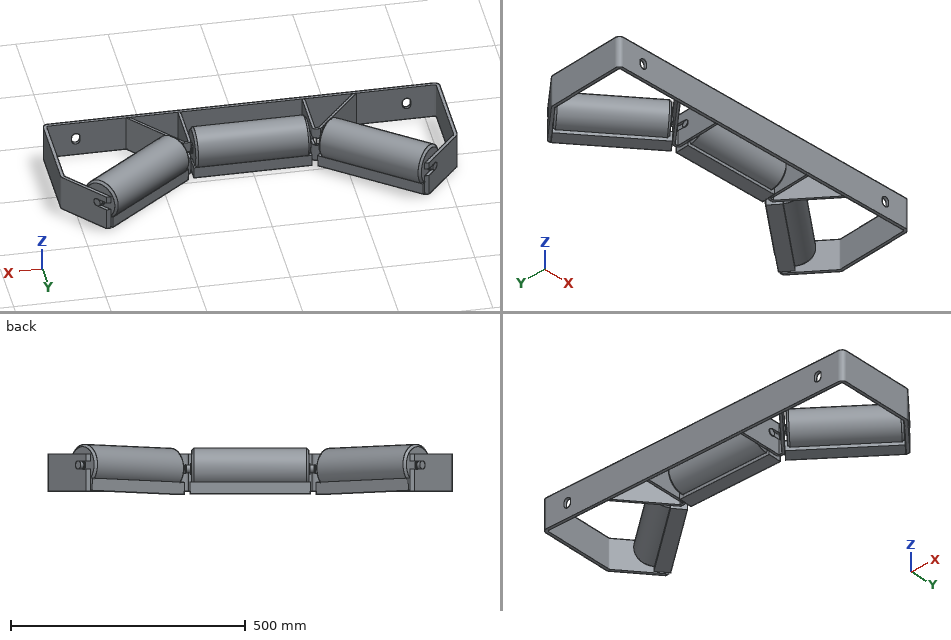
import cadquery as cq
import math

frame_length = 860.0
bar_width = 80.0
bar_thickness = 8.0
bend_radius = 12.0
side_height = 207.0
arm_tip_y = 303.0
mount_slot_x = 359.0
mount_slot_width = 18.0
mount_slot_height = 26.0

trough_angle = 40.0
lift_angle = 2.0
trough_sin = math.sin(math.radians(trough_angle))
trough_cos = math.cos(math.radians(trough_angle))

bracket_thickness = 6.0
bracket_top_y = 128.0
upright_face_x = 132.0
slant_corner_x = 149.0
bracket_bend_radius = 8.0

roller_diameter = 89.5
roller_length = 249.0
roller_chamfer = 5.0
collar_diameter = 23.0
collar_length = 254.5
spindle_diameter = 17.0
spindle_length = 272.0
centre_roller_position = (0, 101.5, 48.0)
outer_roller_x = 262.0
outer_roller_y = 195.0
outer_roller_z = 52.0

rail_length = 256.0
outer_rail_shift = 3.0
rail_width = 36.0
rail_top = -27.5
rail_bottom = -53.0

slot_inner_end = 122.0
slot_outer_end = 139.0
slot_depth = 60.0

SIDES = (-1, 1)


def place(body, position, turn=0.0, lift=0.0):
    """Move a body built along X at the origin: raise its +X end, turn it in plan, shift it."""
    body = body.rotate((0, 0, 0), (0, 1, 0), -lift)
    body = body.rotate((0, 0, 0), (0, 0, 1), turn)
    return body.translate(position)


def place_outer(body, side):
    """Put a body on the axis of the outer roller on the given side."""
    position = (side * outer_roller_x, outer_roller_y, outer_roller_z)
    return place(body, position, side * trough_angle, side * lift_angle)


def axis_cylinder(diameter, length):
    """Cylinder centred on the origin, along X."""
    return cq.Workplane("YZ", origin=(-length / 2, 0, 0)).circle(diameter / 2).extrude(length)


def make_roller():
    """Chamfered roller with a stepped spindle, as one solid."""
    barrel = axis_cylinder(roller_diameter, roller_length).edges().chamfer(roller_chamfer)
    collar = axis_cylinder(collar_diameter, collar_length)
    spindle = axis_cylinder(spindle_diameter, spindle_length)
    return barrel.union(collar).union(spindle)


def make_rail(shift=0.0):
    """Bar under the roller, hollowed to the roller surface and shifted along its axis."""
    rail_height = rail_top - rail_bottom
    bar = cq.Workplane("XY").box(rail_length, rail_width, rail_height, centered=(True, False, False))
    return bar.translate((shift, 0, rail_bottom)).cut(make_roller())


def make_spindle_slots():
    """Cutter for the round-bottomed slots at both ends of a roller, open towards +Y."""
    slot_length = slot_outer_end - slot_inner_end
    slot_middle = (slot_outer_end + slot_inner_end) / 2
    cutter = axis_cylinder(spindle_diameter, 2 * slot_outer_end)
    opening = cq.Workplane("XY").box(slot_length, slot_depth, spindle_diameter, centered=(True, False, True))
    for side in SIDES:
        cutter = cutter.union(opening.translate((side * slot_middle, 0, 0)))
    return cutter


def make_frame():
    half = frame_length / 2
    arm_run = (arm_tip_y - side_height) * trough_sin / trough_cos
    tip_x = half - arm_run
    tip_thickness = bar_thickness / trough_cos
    corner_drop = bar_thickness * math.tan(math.radians(trough_angle / 2))
    inner_half = half - bar_thickness
    inner_side_height = side_height - corner_drop
    outline = [
        (-half, 0), (half, 0), (half, side_height), (tip_x, arm_tip_y),
        (tip_x - tip_thickness, arm_tip_y), (inner_half, inner_side_height), (inner_half, bar_thickness),
        (-inner_half, bar_thickness), (-inner_half, inner_side_height), (tip_thickness - tip_x, arm_tip_y),
        (-tip_x, arm_tip_y), (-half, side_height),
    ]
    frame = cq.Workplane("XY").polyline(outline).close().extrude(bar_width)

    inner_radius = bend_radius - bar_thickness
    for side in SIDES:
        for x, y, radius in (
            (half, 0, bend_radius),
            (half, side_height, bend_radius),
            (inner_half, bar_thickness, inner_radius),
            (inner_half, inner_side_height, inner_radius),
        ):
            corner = cq.selectors.NearestToPointSelector((side * x, y, bar_width / 2))
            frame = frame.edges("|Z").edges(corner).fillet(radius)

    mount_slots = (
        cq.Workplane("XZ")
        .pushPoints([(side * mount_slot_x, bar_width / 2) for side in SIDES])
        .slot2D(mount_slot_height, mount_slot_width, 90)
        .extrude(-bar_thickness)
    )
    frame = frame.cut(mount_slots)
    for side in SIDES:
        frame = frame.cut(place_outer(make_spindle_slots(), side))
    return frame


def make_bracket(side):
    inner_top_y = bracket_top_y - bracket_thickness
    upright_back_x = upright_face_x + bracket_thickness
    slant_slope = trough_sin / trough_cos
    slant_thickness = bracket_thickness / trough_cos
    foot_x = slant_corner_x + (bracket_top_y - bar_thickness) * slant_slope
    inner_corner_x = slant_corner_x + bracket_thickness * slant_slope - slant_thickness
    outline = [
        (upright_face_x, bar_thickness), (upright_face_x, bracket_top_y), (slant_corner_x, bracket_top_y),
        (foot_x, bar_thickness), (foot_x - slant_thickness, bar_thickness), (inner_corner_x, inner_top_y),
        (upright_back_x, inner_top_y), (upright_back_x, bar_thickness),
    ]
    points = [(side * x, y) for x, y in outline]
    bracket = cq.Workplane("XY").polyline(points).close().extrude(bar_width)
    bend = cq.selectors.NearestToPointSelector((side * upright_face_x, bracket_top_y, bar_width / 2))
    bracket = bracket.edges("|Z").edges(bend).fillet(bracket_bend_radius)
    bracket = bracket.cut(place(make_spindle_slots(), centre_roller_position))
    return bracket.cut(place_outer(make_spindle_slots(), side))


frame = make_frame()
brackets = [make_bracket(side) for side in SIDES]
rollers = [place(make_roller(), centre_roller_position)]
rails = [place(make_rail(), centre_roller_position)]
for side in SIDES:
    rollers.append(place_outer(make_roller(), side))
    rails.append(place_outer(make_rail(-side * outer_rail_shift), side))

bodies = [frame, *brackets, *rollers, *rails]
result = cq.Compound.makeCompound([body.solids().val() for body in bodies])